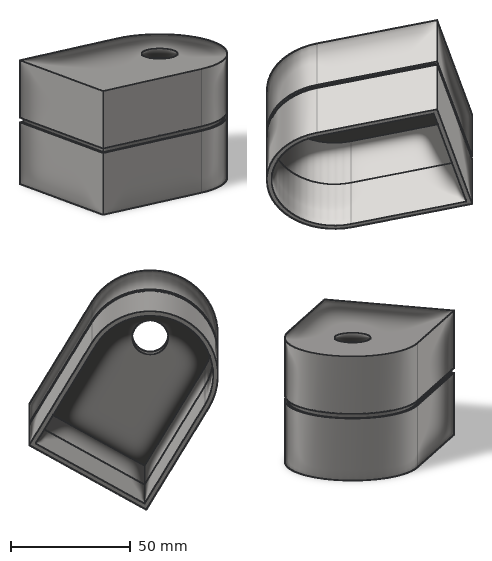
import cadquery as cq

length = 80.3
width = 56.6
total_height = 54.0
base_height = 27.0
gap_height = 2.0
wall = 2.0
roof = 4.0
hole_diameter = 15.0
lip_engagement = 2.0

outer_radius = width / 2
straight_length = length - outer_radius
lip_inset = wall / 2
cover_bottom = base_height + gap_height
lip_bottom = base_height - lip_engagement


def arched_prism(inset, bottom, top):
    """Prism with a round +Y end, inset from the outer outline; the arc is centred on the Z axis."""
    radius = outer_radius - inset
    front = inset - straight_length
    return (
        cq.Workplane("XY", origin=(0, 0, bottom))
        .moveTo(-radius, front)
        .lineTo(radius, front)
        .lineTo(radius, 0)
        .threePointArc((0, radius), (-radius, 0))
        .close()
        .extrude(top - bottom)
    )


def roof_hole():
    """Vertical bore on the arc axis, crossing the roof of the cover."""
    return cq.Workplane("XY").circle(hole_diameter / 2).extrude(total_height)


def make_base():
    """Wall open at top and bottom, whose rim is recessed to receive the lip of the cover."""
    shell = arched_prism(0, 0, base_height)
    cavity = arched_prism(wall, 0, base_height)
    lip_recess = arched_prism(lip_inset, lip_bottom, base_height)
    return shell.cut(cavity).cut(lip_recess)


def make_cover():
    """Open-bottomed shell with a thin lip hanging from the inner half of its wall."""
    shell = arched_prism(0, cover_bottom, total_height)
    lip = arched_prism(lip_inset, lip_bottom, cover_bottom)
    cavity = arched_prism(wall, lip_bottom, total_height - roof)
    return shell.union(lip).cut(cavity).cut(roof_hole())


base = make_base()
cover = make_cover()

result = cq.Compound.makeCompound([base.val(), cover.val()])